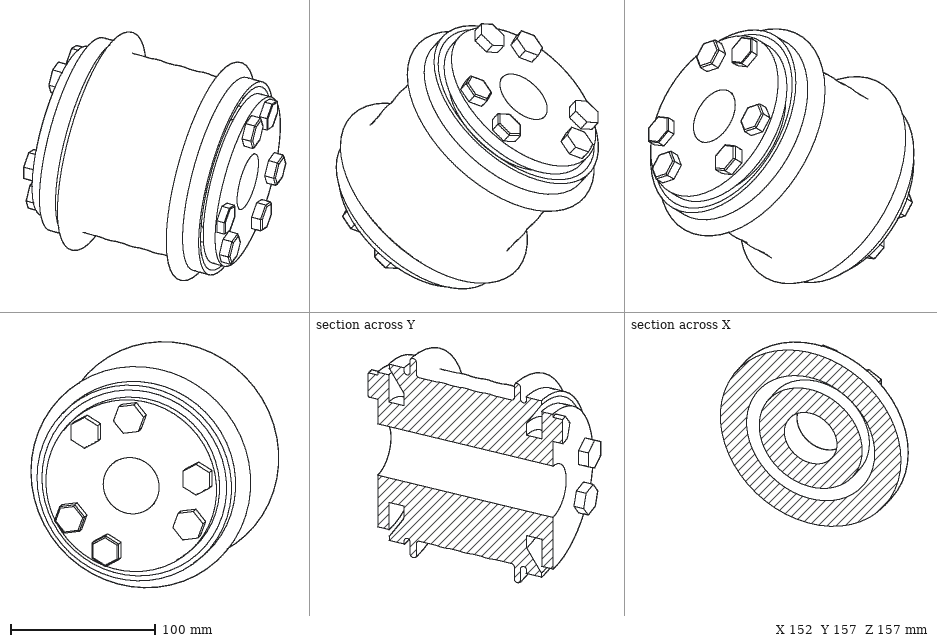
import cadquery as cq
import math

overall_length = 152.0
bore_diameter = 40.0

head_height = 7.6
hub_diameter = 122.0
hub_face_x = overall_length / 2 - head_height

flange_diameter = 139.0
flange_face_x = 59.5
flange_inner_x = 47.5

recess_outer_diameter = 132.0
recess_depth = 11.5
neck_diameter = 79.35
recess_wall_angle = 34.0

disc_diameter = 157.0
disc_thickness = 5.3
disc_x = 40.65
root_fillet = 2.0

sleeve_diameter = 129.0
band_count = 3
band_pitch = 17.5
band_width = 11.0
band_height = 0.5

bolt_circle_radius = 49.0
head_across_flats = 19.0
head_chamfer = 1.0
short_head_height = 6.1
short_head_chamfer = 0.6


def revolved(profile):
    """Turn a closed (x, radius) profile about the X axis."""
    return profile.close().revolve(360, (0, 0, 0), (1, 0, 0))


def cylinder_between(x_start, x_end, diameter):
    return cq.Workplane("YZ", origin=(x_start, 0, 0)).circle(diameter / 2).extrude(x_end - x_start)


def sleeve():
    """Plain cylinder between the two end bodies, ending where their inner root fillets begin."""
    half_length = disc_x - disc_thickness / 2 - root_fillet
    return cylinder_between(-half_length, half_length, sleeve_diameter)


def crowned_band(center_x):
    """Shallow convex band around the sleeve."""
    radius = sleeve_diameter / 2
    profile = (
        cq.Workplane("XY")
        .moveTo(center_x - band_width / 2, 0)
        .lineTo(center_x - band_width / 2, radius)
        .threePointArc((center_x, radius + band_height), (center_x + band_width / 2, radius))
        .lineTo(center_x + band_width / 2, 0)
    )
    return revolved(profile)


def end_body():
    """Disc, flange and hub of the +X end as one turned body."""
    sleeve_radius = sleeve_diameter / 2
    disc_inner_x = disc_x - disc_thickness / 2
    disc_outer_x = disc_x + disc_thickness / 2
    rim_start_radius = disc_diameter / 2 - disc_thickness / 2
    fillet_midpoint = root_fillet * (1 - math.sqrt(0.5))
    groove_radius = (flange_inner_x - disc_outer_x) / 2
    groove_top = sleeve_radius + groove_radius
    recess_floor_x = flange_face_x - recess_depth
    recess_wall_width = recess_depth / math.tan(math.radians(recess_wall_angle))
    profile = (
        cq.Workplane("XY")
        .moveTo(disc_inner_x - root_fillet, 0)
        .lineTo(disc_inner_x - root_fillet, sleeve_radius)
        .threePointArc(
            (disc_inner_x - fillet_midpoint, sleeve_radius + fillet_midpoint),
            (disc_inner_x, sleeve_radius + root_fillet),
        )
        .lineTo(disc_inner_x, rim_start_radius)
        .threePointArc((disc_x, disc_diameter / 2), (disc_outer_x, rim_start_radius))
        .lineTo(disc_outer_x, groove_top)
        .threePointArc((disc_outer_x + groove_radius, sleeve_radius), (flange_inner_x, groove_top))
        .lineTo(flange_inner_x, flange_diameter / 2)
        .lineTo(flange_face_x, flange_diameter / 2)
        .lineTo(flange_face_x, recess_outer_diameter / 2)
        .lineTo(recess_floor_x, recess_outer_diameter / 2 - recess_wall_width)
        .lineTo(recess_floor_x, neck_diameter / 2)
        .lineTo(flange_face_x, neck_diameter / 2)
        .lineTo(flange_face_x, hub_diameter / 2)
        .lineTo(hub_face_x, hub_diameter / 2)
        .lineTo(hub_face_x, 0)
    )
    return revolved(profile)


def bolt_head(end, position_angle, vertex_angle, height, chamfer):
    """Hexagon head on the hub face of one end (+1 or -1); angles run from -Y towards +Z."""
    across_corners = head_across_flats / math.cos(math.pi / 6)
    head = cq.Workplane("XY").polygon(6, across_corners).extrude(height)
    if chamfer:
        head = head.faces(">Z").chamfer(chamfer)
    angle = math.radians(position_angle)
    center = (
        end * hub_face_x,
        -bolt_circle_radius * math.cos(angle),
        bolt_circle_radius * math.sin(angle),
    )
    hub_plane = cq.Plane(origin=center, xDir=(0, -1, 0), normal=(end, 0, 0))
    spin = -end * vertex_angle
    return head.rotate((0, 0, 0), (0, 0, 1), spin).val().moved(cq.Location(hub_plane))


plain = (head_height, 0)
chamfered = (head_height, head_chamfer)
short = (short_head_height, short_head_chamfer)
bolts = [
    (90, 70, plain, chamfered),
    (210, 70, chamfered, chamfered),
    (330, 70, plain, chamfered),
    (10, 90, plain, short),
    (130, 90, plain, short),
    (250, 90, chamfered, chamfered),
]

plus_end = end_body()
result = sleeve().union(plus_end).union(plus_end.mirror("YZ"))

for band_index in range(band_count):
    band_x = (band_index - (band_count - 1) / 2) * band_pitch
    result = result.union(crowned_band(band_x))

for position_angle, vertex_angle, minus_head, plus_head in bolts:
    result = result.union(cq.Workplane(bolt_head(-1, position_angle, vertex_angle, *minus_head)))
    result = result.union(cq.Workplane(bolt_head(1, position_angle, vertex_angle, *plus_head)))

result = result.cut(cylinder_between(-hub_face_x, hub_face_x, bore_diameter))